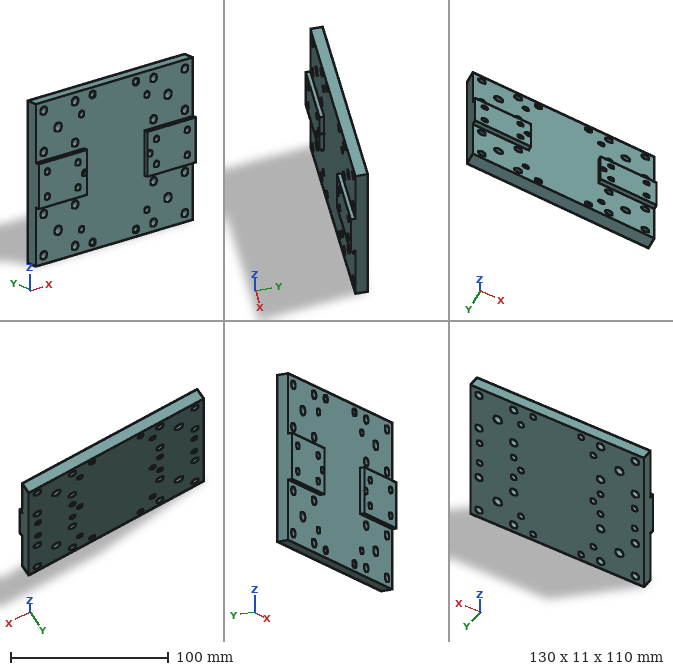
import cadquery as cq

length = 130.0
height = 110.0
overall_depth = 11.0
pad_thickness = 3.0
plate_thickness = overall_depth - pad_thickness

pad_length = 40.0
pad_height = 30.4

corner_x = 45.5
corner_z = 35.0
mount_pitch_x = 26.0
mount_pitch_z = 28.0
mount_diameter = 5.3
center_diameter = 6.0
center_shift_x = -1.0

pad_hole_inner_x = 32.5
pad_hole_outer_x = 58.0
pad_hole_z = 8.5
pad_hole_diameter = 4.2

column_x = 27.0
column_pitch_z = 39.0
column_diameter = 4.2

edge_x = 18.0
edge_z = 50.0
edge_diameter = 4.2
edge_chamfer = 0.4


def mirrored(x, z):
    """Return a point and its reflections in both centre lines."""
    return [(sx * x, sz * z) for sx in (-1, 1) for sz in (-1, 1)]


def cylinders(points, diameter, depth):
    """Return round cutters running from the front plane of the pads towards +Y."""
    front = cq.Workplane("XZ", origin=(0, -pad_thickness, 0))
    return front.pushPoints(points).circle(diameter / 2).extrude(-depth)


body = cq.Workplane("XY").box(length, plate_thickness, height, centered=(True, False, True))
for side in (-1, 1):
    pad = cq.Workplane("XY").box(pad_length, overall_depth, pad_height, centered=(True, False, True))
    body = body.union(pad.translate((side * (length - pad_length) / 2, -pad_thickness, 0)))

mount_points = [
    point
    for x in (corner_x - mount_pitch_x / 2, corner_x + mount_pitch_x / 2)
    for z in (corner_z - mount_pitch_z / 2, corner_z + mount_pitch_z / 2)
    for point in mirrored(x, z)
]
pad_points = mirrored(pad_hole_inner_x, pad_hole_z) + mirrored(pad_hole_outer_x, pad_hole_z)
column_points = [(side * column_x, row * column_pitch_z) for side in (-1, 1) for row in (-1, 0, 1)]
center_points = [(x + center_shift_x, z) for x, z in mirrored(corner_x, corner_z)]
edge_points = mirrored(edge_x, edge_z)

for points, diameter in (
    (mount_points, mount_diameter),
    (center_points, center_diameter),
    (pad_points, pad_hole_diameter),
    (column_points, column_diameter),
    (edge_points, edge_diameter),
):
    body = body.cut(cylinders(points, diameter, overall_depth))

for x, z in edge_points:
    countersink = cq.Solid.makeCone(
        edge_diameter / 2 + edge_chamfer,
        edge_diameter / 2,
        edge_chamfer,
        pnt=cq.Vector(x, 0, z),
        dir=cq.Vector(0, 1, 0),
    )
    body = body.cut(cq.Workplane(countersink))

result = body